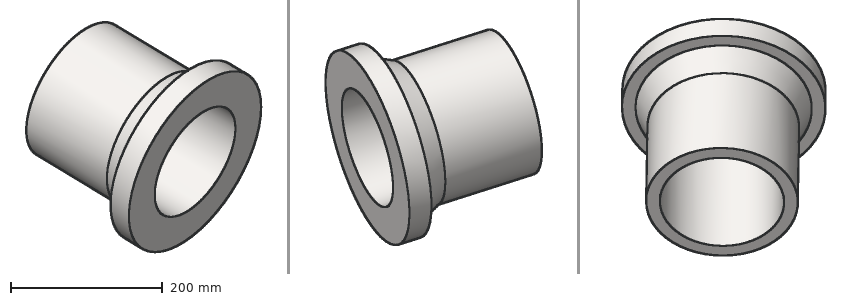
import cadquery as cq

total_length = 207.0
flange_diameter = 268.0
flange_thickness = 32.0
pipe_diameter = 200.0
pipe_length = 139.5
bore_diameter = 163.5
cone_end_diameter = 232.0

flange_start = total_length - flange_thickness

half_section = (
    cq.Workplane("XY")
    .moveTo(0, bore_diameter / 2)
    .lineTo(0, pipe_diameter / 2)
    .lineTo(pipe_length, pipe_diameter / 2)
    .lineTo(flange_start, cone_end_diameter / 2)
    .lineTo(flange_start, flange_diameter / 2)
    .lineTo(total_length, flange_diameter / 2)
    .lineTo(total_length, bore_diameter / 2)
    .close()
)

result = half_section.revolve(360, (0, 0, 0), (1, 0, 0))